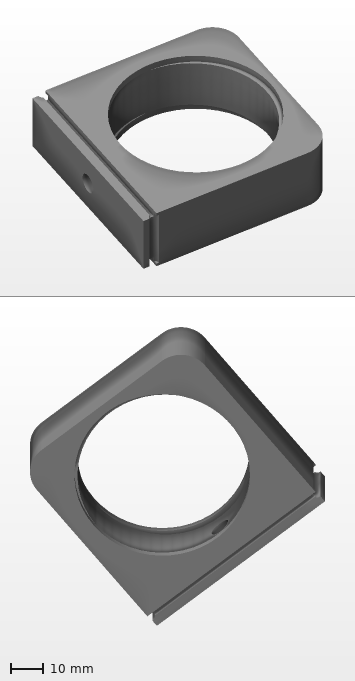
import cadquery as cq

WIDTH = 67.0
LENGTH = 69.0
HEIGHT = 22.0
CORNER_RADIUS = 9.5

PLATE_STEP = 1.1
PLATE_HEIGHT = HEIGHT - 2 * PLATE_STEP

PLATE_THICKNESS = 3.1
SLOT_WIDTH = 1.6
SLOT_DEPTH = 1.4
BODY_FRONT = PLATE_THICKNESS + SLOT_WIDTH
GROOVE_CENTER_Y = PLATE_THICKNESS + SLOT_WIDTH / 2
SIDE_GROOVE_RADIUS = 1.7

BORE_DIAMETER = 54.5
BORE_CENTER_Y = 39.0
BORE_OFFSET = 1.5
RIM_HEIGHT = 2.4

FRONT_HOLE_DIAMETER = 6.5


def make_block():
    block = cq.Workplane("XY").box(WIDTH, LENGTH, HEIGHT, centered=(True, False, False))
    return block.edges("|Z and >Y").fillet(CORNER_RADIUS)


def horizontal_cut(depth_y, depth_z, z):
    """Full-width bar that starts at the front face, with its lower side at z."""
    bar = cq.Workplane("XY").box(WIDTH, depth_y, depth_z, centered=(True, False, False))
    return bar.translate((0, 0, z))


def cut_plate_steps(part):
    for z in (0, HEIGHT - PLATE_STEP):
        part = part.cut(horizontal_cut(BODY_FRONT, PLATE_STEP, z))
    return part


def cut_slots(part):
    for z in (PLATE_STEP, HEIGHT - PLATE_STEP - SLOT_DEPTH):
        slot = horizontal_cut(SLOT_WIDTH, SLOT_DEPTH, z)
        part = part.cut(slot.translate((0, PLATE_THICKNESS, 0)))
    return part


def cut_side_grooves(part):
    """Half-round grooves at the plate ends, as tall as the plate."""
    for x in (-WIDTH / 2, WIDTH / 2):
        groove = cq.Workplane("XY").circle(SIDE_GROOVE_RADIUS).extrude(PLATE_HEIGHT)
        part = part.cut(groove.translate((x, GROOVE_CENTER_Y, PLATE_STEP)))
    return part


def bore_cylinder(center_y, z, height):
    cylinder = cq.Workplane("XY").circle(BORE_DIAMETER / 2).extrude(height)
    return cylinder.translate((0, center_y, z))


def cut_bore(part):
    middle_height = HEIGHT - 2 * RIM_HEIGHT
    for z in (0, HEIGHT - RIM_HEIGHT):
        part = part.cut(bore_cylinder(BORE_CENTER_Y, z, RIM_HEIGHT))
    return part.cut(bore_cylinder(BORE_CENTER_Y - BORE_OFFSET, RIM_HEIGHT, middle_height))


def cut_front_hole(part):
    hole = cq.Workplane("XZ").circle(FRONT_HOLE_DIAMETER / 2).extrude(-BORE_CENTER_Y)
    return part.cut(hole.translate((0, 0, HEIGHT / 2)))


result = make_block()
result = cut_plate_steps(result)
result = cut_slots(result)
result = cut_side_grooves(result)
result = cut_bore(result)
result = cut_front_hole(result)